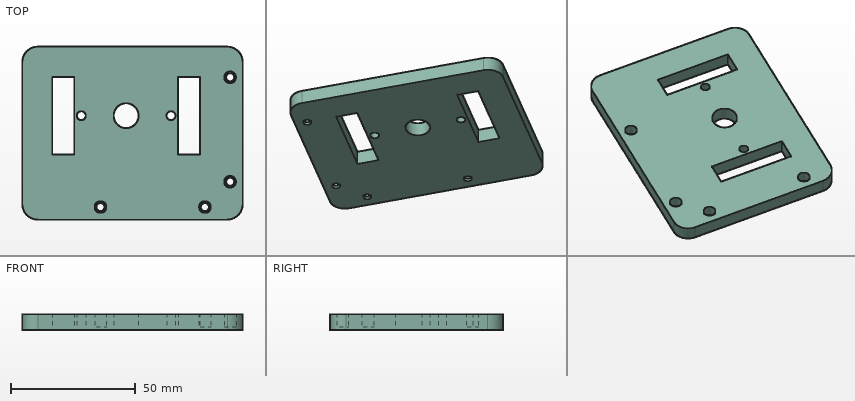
import cadquery as cq

plate_length = 88.55
plate_width = 69.55
plate_thickness = 6.35
corner_radius = 6.35

pattern_x = -2.55
pattern_y = 7.0
shaft_hole_diameter = 9.9
screw_hole_diameter = 3.5
screw_hole_spacing = 36.0
slot_length = 31.05
slot_width = 8.75
slot_spacing = 50.5

mount_hole_diameter = 3.2
counterbore_diameter = 4.75
counterbore_depth = 5.0
mount_spacing = 41.9
mount_edge_inset = 5.1
right_pair_y = 1.45
front_pair_x = 8.1


def make_plate():
    """Flat plate with rounded vertical corners."""
    plate = cq.Workplane("XY").box(
        plate_length, plate_width, plate_thickness, centered=(True, True, False)
    )
    return plate.edges("|Z").fillet(corner_radius)


def cut_shaft_pattern(body):
    """Cut the shaft hole, its two screw holes and the two slots through the plate."""
    top = body.faces(">Z").workplane(origin=(pattern_x, pattern_y, 0))
    body = top.hole(shaft_hole_diameter)
    for side in (-1, 1):
        screw_x = pattern_x + side * screw_hole_spacing / 2
        slot_x = pattern_x + side * slot_spacing / 2
        body = body.faces(">Z").workplane(origin=(screw_x, pattern_y, 0)).hole(screw_hole_diameter)
        slot_plane = body.faces(">Z").workplane(origin=(slot_x, pattern_y, 0))
        body = slot_plane.rect(slot_width, slot_length).cutThruAll()
    return body


def cut_mount_holes(body):
    """Cut the counterbored holes along the +X and -Y edges, opening upwards."""
    right_x = plate_length / 2 - mount_edge_inset
    front_y = -plate_width / 2 + mount_edge_inset
    points = []
    for side in (-1, 1):
        offset = side * mount_spacing / 2
        points.append((right_x, right_pair_y + offset))
        points.append((front_pair_x + offset, front_y))
    top = body.faces(">Z").workplane(origin=(0, 0, 0))
    return top.pushPoints(points).cboreHole(
        mount_hole_diameter, counterbore_diameter, counterbore_depth
    )


result = cut_mount_holes(cut_shaft_pattern(make_plate()))